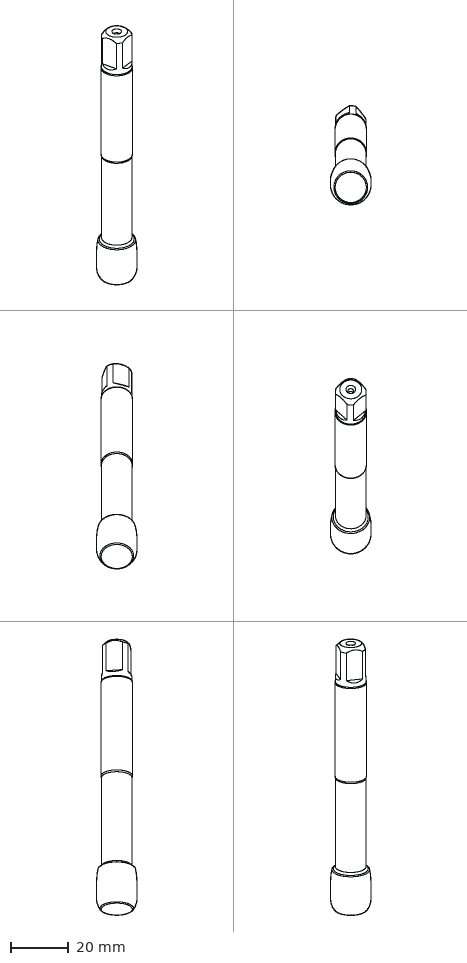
import cadquery as cq
import math

total_length = 100.0

head_diameter = 14.2
head_shoulder_diameter = 13.1
head_nose_diameter = 11.7
head_tip_diameter = 10.8
head_tip_height = 0.3
head_band_bottom = 4.1
head_band_top = 9.8
head_shoulder_height = 15.0
head_height = 15.3

collar_diameter = 12.1
collar_height = 0.8
neck_diameter = 10.6
grip_diameter = 11.0
grip_bottom = 49.5
grip_top = 85.7
grip_bottom_chamfer = 0.6
grip_top_chamfer = 0.4
drive_diameter = 10.7
drive_top_diameter = 7.6

square_width = 9.0
square_length = 11.9

centre_diameter = 2.0
countersink_diameter = 3.3
countersink_angle = 60.0
centre_depth = 3.0
drill_point_angle = 118.0


def tangent_arc_midpoint(start_radius, start_z, end_radius, end_z):
    """Middle of an arc that leaves the start point parallel to the Z axis."""
    inset = start_radius - end_radius
    rise = end_z - start_z
    arc_radius = (inset**2 + rise**2) / (2 * inset)
    half_angle = math.asin(abs(rise) / arc_radius) / 2
    radius = start_radius - arc_radius * (1 - math.cos(half_angle))
    z = start_z + math.copysign(arc_radius * math.sin(half_angle), rise)
    return radius, z


def make_head():
    """Barrel-shaped head with a cylindrical band, rounded ends and a bevelled shoulder."""
    band_radius = head_diameter / 2
    shoulder_radius = head_shoulder_diameter / 2
    nose_radius = head_nose_diameter / 2
    lower_middle = tangent_arc_midpoint(band_radius, head_band_bottom, nose_radius, head_tip_height)
    upper_middle = tangent_arc_midpoint(band_radius, head_band_top, shoulder_radius, head_shoulder_height)
    return (
        cq.Workplane("XZ")
        .lineTo(head_tip_diameter / 2, 0)
        .lineTo(nose_radius, head_tip_height)
        .threePointArc(lower_middle, (band_radius, head_band_bottom))
        .lineTo(band_radius, head_band_top)
        .threePointArc(upper_middle, (shoulder_radius, head_shoulder_height))
        .lineTo(collar_diameter / 2, head_height)
        .lineTo(0, head_height)
        .close()
        .revolve(360, (0, 0, 0), (0, 1, 0))
    )


def make_turned_shank():
    """Round stages of the shank, resting on the top face of the head."""
    neck_radius = neck_diameter / 2
    grip_radius = grip_diameter / 2
    drive_radius = drive_diameter / 2
    drive_top_radius = drive_top_diameter / 2
    top_chamfer = drive_radius - drive_top_radius
    return (
        cq.Workplane("XZ")
        .moveTo(0, head_height)
        .lineTo(collar_diameter / 2, head_height)
        .lineTo(neck_radius, head_height + collar_height)
        .lineTo(neck_radius, grip_bottom)
        .lineTo(grip_radius, grip_bottom + grip_bottom_chamfer)
        .lineTo(grip_radius, grip_top - grip_top_chamfer)
        .lineTo(drive_radius, grip_top)
        .lineTo(drive_radius, total_length - top_chamfer)
        .lineTo(drive_top_radius, total_length)
        .lineTo(0, total_length)
        .close()
        .revolve(360, (0, 0, 0), (0, 1, 0))
    )


def make_flat_cutter():
    """Material outside one flat of the square, with a 45 degree run-out below."""
    flat_distance = square_width / 2
    flat_bottom = total_length - square_length
    cut_depth = grip_diameter - flat_distance
    return (
        cq.Workplane("XZ")
        .moveTo(flat_distance, flat_bottom)
        .lineTo(flat_distance + cut_depth, flat_bottom - cut_depth)
        .lineTo(flat_distance + cut_depth, total_length)
        .lineTo(flat_distance, total_length)
        .close()
        .extrude(grip_diameter, both=True)
    )


def make_centre_hole():
    """Countersunk centre hole with a conical drill point."""
    hole_radius = centre_diameter / 2
    mouth_radius = countersink_diameter / 2
    countersink_depth = (mouth_radius - hole_radius) / math.tan(math.radians(countersink_angle / 2))
    point_depth = hole_radius / math.tan(math.radians(drill_point_angle / 2))
    hole_bottom = total_length - centre_depth
    return (
        cq.Workplane("XZ")
        .moveTo(0, total_length)
        .lineTo(mouth_radius, total_length)
        .lineTo(hole_radius, total_length - countersink_depth)
        .lineTo(hole_radius, hole_bottom)
        .lineTo(0, hole_bottom - point_depth)
        .close()
        .revolve(360, (0, 0, 0), (0, 1, 0))
    )


def make_shank():
    """Turned shank with four drive flats and a centre hole."""
    shank = make_turned_shank()
    flat_cutter = make_flat_cutter()
    for angle in (0, 90, 180, 270):
        shank = shank.cut(flat_cutter.rotate((0, 0, 0), (0, 0, 1), angle))
    return shank.cut(make_centre_hole())


head = make_head()
shank = make_shank()
result = cq.Compound.makeCompound([head.val(), shank.val()])